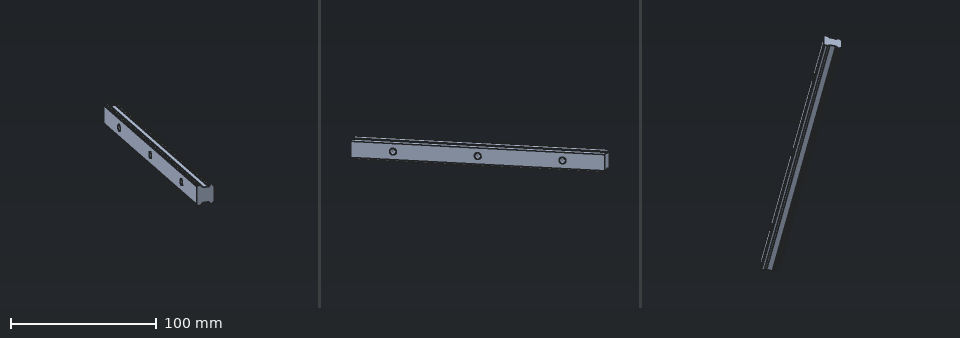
import cadquery as cq

length = 180.0
height = 13.0
width = 15.0

base_chamfer_height = 0.9
base_chamfer_inset = 0.7
flank_end = 2.9
slope_height = 1.6

waist_depth = 1.8
waist_end = 8.6
step_rise = 0.4
step_run = 0.09

ridge_height = 10.6
ridge_flat = 0.2
ridge_reach = 1.3
ridge_drop = 0.4
groove_bow = 0.25

hole_diameter = 4.5
hole_count = 3
hole_pitch = length / hole_count

base_y = -height / 2
top_y = height / 2
flank_z = width / 2
waist_z = flank_z - waist_depth


def groove_middle(start, end, lean):
    """Middle point of a groove arc, bowed inward from the chord; lean is the Y direction of the bow."""
    middle_y = (start[0] + end[0]) / 2 + lean * groove_bow
    middle_z = (start[1] + end[1]) / 2 - groove_bow
    return (middle_y, middle_z)


def make_rail():
    """Extrude half of the cross-section and mirror it about the mid-plane."""
    ridge_y = base_y + ridge_height
    shoulder_z = flank_z - ridge_drop
    waist_end_y = base_y + waist_end
    lower_start = (waist_end_y + step_run, waist_z + step_rise)
    lower_end = (ridge_y - ridge_reach, shoulder_z)
    upper_start = (ridge_y + ridge_reach, shoulder_z)
    upper_end = (top_y, waist_z)
    half = (
        cq.Workplane("YZ", origin=(-length / 2, 0, 0))
        .moveTo(base_y, 0)
        .lineTo(base_y, flank_z - base_chamfer_inset)
        .lineTo(base_y + base_chamfer_height, flank_z)
        .lineTo(base_y + flank_end, flank_z)
        .lineTo(base_y + flank_end + slope_height, waist_z)
        .lineTo(waist_end_y, waist_z)
        .lineTo(*lower_start)
        .threePointArc(groove_middle(lower_start, lower_end, 1), lower_end)
        .lineTo(ridge_y - ridge_flat, flank_z)
        .lineTo(ridge_y + ridge_flat, flank_z)
        .lineTo(*upper_start)
        .threePointArc(groove_middle(upper_start, upper_end, -1), upper_end)
        .lineTo(top_y, 0)
        .close()
        .extrude(length)
    )
    return half.union(half.mirror("XY"))


def make_holes():
    """Row of evenly spaced holes along the middle of the rail."""
    return (
        cq.Workplane("XZ")
        .rarray(hole_pitch, 1.8, hole_count, 1)
        .circle(hole_diameter / 2)
        .extrude(height, both=True)
    )


result = make_rail().cut(make_holes())